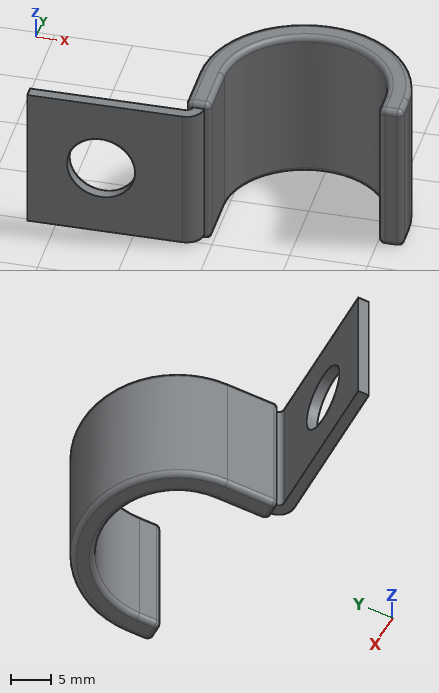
import cadquery as cq

length = 46.75
depth = 22.95
height = 20.6

outer_radius = 13.4
cushion_thickness = 3.1
inner_radius = outer_radius - cushion_thickness
long_leg = 7.3
short_leg = 3.2
cushion_rounding = 0.75

strap_thickness = 1.5
strap_width = height - 2 * cushion_rounding
bend_inner_radius = 0.75
bend_outer_radius = bend_inner_radius + strap_thickness
hole_diameter = 8.75
hole_from_tab_end = 9.5

tab_end_x = outer_radius - length
tab_front_y = outer_radius - depth
tab_back_y = tab_front_y + strap_thickness
strap_centre_x = -(inner_radius + outer_radius) / 2
strap_left_x = strap_centre_x - strap_thickness / 2
strap_right_x = strap_centre_x + strap_thickness / 2
strap_root_y = -long_leg / 2


def make_cushion():
    """Half-ring saddle with every outline edge rounded."""
    body = (
        cq.Workplane("XY", origin=(0, 0, -height / 2))
        .moveTo(-outer_radius, -long_leg)
        .lineTo(-outer_radius, 0)
        .threePointArc((0, outer_radius), (outer_radius, 0))
        .lineTo(outer_radius, -short_leg)
        .lineTo(inner_radius, -short_leg)
        .lineTo(inner_radius, 0)
        .threePointArc((0, inner_radius), (-inner_radius, 0))
        .lineTo(-inner_radius, -long_leg)
        .close()
        .extrude(height)
    )
    leg_corners = body.edges("|Z").edges(
        cq.selectors.BoxSelector(
            (-length, -depth, -height), (length, -short_leg / 2, height)
        )
    )
    return leg_corners.fillet(cushion_rounding).faces("|Z").edges().fillet(cushion_rounding)


def make_strap():
    """L-shaped strap with a rounded bend and one mounting hole."""
    strap = (
        cq.Workplane("XY", origin=(0, 0, -strap_width / 2))
        .moveTo(tab_end_x, tab_front_y)
        .lineTo(strap_right_x - bend_outer_radius, tab_front_y)
        .radiusArc((strap_right_x, tab_front_y + bend_outer_radius), -bend_outer_radius)
        .lineTo(strap_right_x, strap_root_y)
        .lineTo(strap_left_x, strap_root_y)
        .lineTo(strap_left_x, tab_back_y + bend_inner_radius)
        .radiusArc((strap_left_x - bend_inner_radius, tab_back_y), bend_inner_radius)
        .lineTo(tab_end_x, tab_back_y)
        .close()
        .extrude(strap_width)
    )
    hole = (
        cq.Workplane("XZ", origin=(tab_end_x + hole_from_tab_end, tab_back_y, 0))
        .circle(hole_diameter / 2)
        .extrude(strap_thickness)
    )
    return strap.cut(hole)


result = make_cushion().union(make_strap())